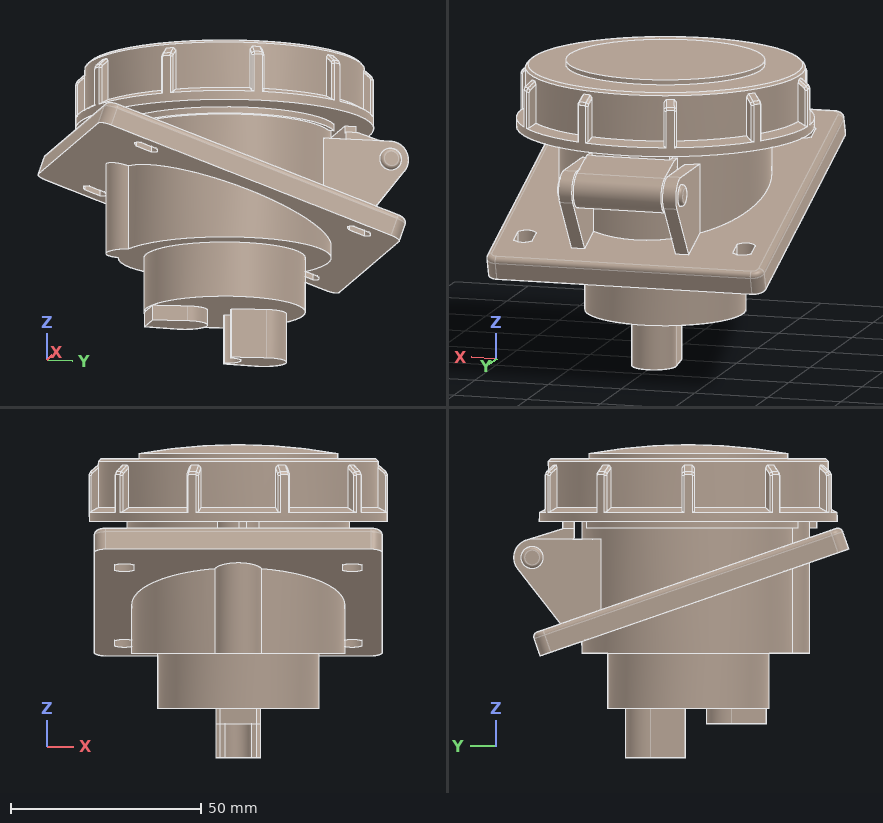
import cadquery as cq
import math


carrier_radius = 21.2
barrel_radius = 28.0
barrel_bottom = 14.5
rib_radius = 6.4
rib_tip_y = -31.9
rib_centre_y = rib_tip_y + rib_radius

plate_width = 75.7
plate_length = 85.9
plate_thickness = 6.25
plate_tilt = 19.1
plate_front_y = -42.2
plate_front_z = 41.9
plate_corner_radius = 3.0
plate_edge_radius = 1.4

hole_width = 5.0
hole_length = 6.0
hole_bow = 1.0
hole_spacing_x = 59.9
hole_spacing_y = 57.4
hole_pattern_y = 0.6

terminal_radius = 5.9
terminal_offset_y = 10.65
terminal_reach = 9.9
terminal_front_width = 9.5
short_terminal_length = 4.0
long_terminal_length = 12.95
groove_radius = 3.5

hinge_y = 41.0
hinge_z = 39.7
hinge_radius = 4.8
lug_outer_x = 16.0
lug_inner_x = 12.4
lug_foot_y = 32.1
lug_foot_z = 20.4
arm_width = 23.95
arm_inner_y = 29.9
arm_heel_z = 44.9
arm_post_width = 21.1
arm_shoulder_y = 33.0
arm_shoulder_z = 47.3
pin_radius = 2.9
pin_length = 34.2
pin_end_radius = 1.0

rim_radius = 39.2
rim_bottom = 49.1
rim_edge_z = 51.5
rim_root_z = 52.8
cap_radius = 36.8
cap_top = 65.7
cap_chamfer = 0.7
disc_radius = 26.15
disc_top = 67.0
dome_top = 69.4
grip_count = 10
grip_width = 3.3
grip_edge_z = 61.9
grip_root_z = 64.0
grip_chamfer = 0.6
grip_trim = 0.1
blank_allowance = 0.9
collar_radius = 29.3
collar_bottom = 47.5
key_tip_y = -33.8
key_left_x = 0.2
key_width = 2.0


def tangent_point(y, z, side):
    """Point where a line from (y, z) touches the hinge circle, on the chosen side (+1 or -1)."""
    distance = math.hypot(y - hinge_y, z - hinge_z)
    direction = math.atan2(z - hinge_z, y - hinge_y)
    angle = direction + side * math.acos(hinge_radius / distance)
    return (hinge_y + hinge_radius * math.cos(angle), hinge_z + hinge_radius * math.sin(angle))


def cylinder(radius, bottom, top, y=0):
    return cq.Workplane("XY").workplane(offset=bottom).center(0, y).circle(radius).extrude(top - bottom)


def make_plate():
    plate = (
        cq.Workplane("XY")
        .box(plate_width, plate_length, plate_thickness, centered=(True, False, False))
        .edges("|Z").fillet(plate_corner_radius)
        .faces(">Z").edges().fillet(plate_edge_radius)
        .rotate((0, 0, 0), (1, 0, 0), -plate_tilt)
        .translate((0, plate_front_y, plate_front_z))
    )
    half_width = hole_width / 2
    half_length = hole_length / 2
    shoulder = half_length - hole_bow
    for side_x in (-1, 1):
        for side_y in (-1, 1):
            hole = (
                cq.Workplane("XY")
                .center(side_x * hole_spacing_x / 2, hole_pattern_y + side_y * hole_spacing_y / 2)
                .moveTo(-half_width, -shoulder)
                .threePointArc((0, -half_length), (half_width, -shoulder))
                .lineTo(half_width, shoulder)
                .threePointArc((0, half_length), (-half_width, shoulder))
                .close()
                .extrude(rim_bottom)
            )
            plate = plate.cut(hole)
    return plate


def make_terminal(centre_y, length):
    half_front = terminal_front_width / 2
    to_corner = math.hypot(half_front, terminal_reach)
    touch = math.atan2(terminal_reach, half_front) - math.acos(terminal_radius / to_corner)
    touch_x = terminal_radius * math.cos(touch)
    touch_y = -terminal_radius * math.sin(touch)
    return (
        cq.Workplane("XY")
        .center(0, centre_y)
        .moveTo(-half_front, -terminal_reach)
        .lineTo(half_front, -terminal_reach)
        .lineTo(touch_x, touch_y)
        .threePointArc((0, terminal_radius), (-touch_x, touch_y))
        .close()
        .extrude(-length)
    )


def make_lug(start_x):
    """Hinge lug with a flat top, a round rear end and an edge sloping down into the plate."""
    return (
        cq.Workplane("YZ")
        .workplane(offset=start_x)
        .moveTo(0, hinge_z + hinge_radius)
        .lineTo(hinge_y, hinge_z + hinge_radius)
        .threePointArc((hinge_y + hinge_radius, hinge_z), tangent_point(lug_foot_y, lug_foot_z, 1))
        .lineTo(lug_foot_y, lug_foot_z)
        .lineTo(0, lug_foot_z + lug_foot_y * math.tan(math.radians(plate_tilt)))
        .close()
        .extrude(lug_outer_x - lug_inner_x)
    )


def make_front_rib():
    return cylinder(rib_radius, barrel_bottom, rim_bottom, rib_centre_y)


def make_pin():
    return (
        cq.Workplane("YZ")
        .workplane(offset=-pin_length / 2)
        .center(hinge_y, hinge_z)
        .circle(pin_radius)
        .extrude(pin_length)
        .faces("<X or >X").edges().fillet(pin_end_radius)
    )


def make_pin_bore():
    return (
        cq.Workplane("YZ")
        .workplane(offset=-lug_outer_x)
        .center(hinge_y, hinge_z)
        .circle(pin_radius)
        .extrude(2 * lug_outer_x)
    )


def make_housing():
    housing = cylinder(carrier_radius, 0, barrel_bottom)
    housing = housing.union(cylinder(barrel_radius, barrel_bottom, rim_bottom))
    housing = housing.union(make_front_rib())
    housing = housing.union(make_plate())
    for lug_x in (-lug_outer_x, lug_inner_x):
        housing = housing.union(make_lug(lug_x))
    housing = housing.union(make_terminal(-terminal_offset_y, short_terminal_length))
    groove = cylinder(groove_radius, -long_terminal_length, 0, terminal_offset_y - terminal_reach)
    housing = housing.union(make_terminal(terminal_offset_y, long_terminal_length).cut(groove))
    return housing.cut(make_pin_bore())


def make_cap_blank():
    """Cap with its rim left oversize, its sloping top carried on outwards past the rim radius."""
    blank_radius = rim_radius + blank_allowance
    rim_slope = (rim_root_z - rim_edge_z) / (rim_radius - cap_radius)
    blank_edge_z = rim_root_z - rim_slope * (blank_radius - cap_radius)
    dome_rise = dome_top - disc_top
    dome_radius = (disc_radius**2 + dome_rise**2) / (2 * dome_rise)
    return (
        cq.Workplane("XZ")
        .moveTo(0, rim_bottom)
        .lineTo(blank_radius, rim_bottom)
        .lineTo(blank_radius, blank_edge_z)
        .lineTo(cap_radius, rim_root_z)
        .lineTo(cap_radius, cap_top - cap_chamfer)
        .lineTo(cap_radius - cap_chamfer, cap_top)
        .lineTo(disc_radius, cap_top)
        .lineTo(disc_radius, disc_top)
        .radiusArc((0, dome_top), -dome_radius)
        .close()
        .revolve(360, (0, 0, 0), (0, 1, 0))
    )


def make_grip():
    """One grip rib on the +X side of the cap, with a sloping top and chamfered outer edges."""
    embedded_radius = cap_radius - cap_chamfer
    outer_radius = rim_radius + grip_trim
    grip = (
        cq.Workplane("XZ")
        .workplane(offset=-grip_width / 2)
        .moveTo(embedded_radius, rim_bottom)
        .lineTo(outer_radius, rim_bottom)
        .lineTo(outer_radius, grip_edge_z)
        .lineTo(cap_radius, grip_root_z)
        .lineTo(embedded_radius, grip_root_z)
        .close()
        .extrude(grip_width)
    )
    slope_edges = grip.edges("not (|X or |Y or |Z)")
    return slope_edges.add(grip.faces(">X").edges("not <Z")).chamfer(grip_chamfer)


def make_collar():
    """Skirt around the barrel, open at the front rib and across the hinge arm."""
    ring = cylinder(collar_radius, collar_bottom, rim_bottom)
    ring = ring.cut(cylinder(barrel_radius, collar_bottom, rim_bottom))
    hinge_gap = (
        cq.Workplane("XY")
        .box(arm_width, collar_radius, rim_bottom, centered=(True, False, False))
    )
    return ring.cut(make_front_rib()).cut(hinge_gap)


def make_key():
    return (
        cq.Workplane("XY")
        .box(key_width, rib_tip_y - key_tip_y, rim_bottom - collar_bottom, centered=False)
        .translate((key_left_x, key_tip_y, collar_bottom))
    )


def make_arm():
    """Hinge arm with a round eye, and the narrower post that carries it under the cap rim."""
    arm = (
        cq.Workplane("YZ")
        .workplane(offset=-arm_width / 2)
        .moveTo(arm_inner_y, arm_shoulder_z)
        .lineTo(arm_inner_y, arm_heel_z)
        .lineTo(*tangent_point(arm_inner_y, arm_heel_z, 1))
        .threePointArc(
            (hinge_y + hinge_radius, hinge_z),
            tangent_point(arm_shoulder_y, arm_shoulder_z, -1),
        )
        .lineTo(arm_shoulder_y, arm_shoulder_z)
        .close()
        .extrude(arm_width)
    )
    post_size = (arm_post_width, arm_shoulder_y - arm_inner_y, rim_bottom - arm_shoulder_z)
    post = (
        cq.Workplane("XY")
        .box(*post_size, centered=(True, False, False))
        .translate((0, arm_inner_y, arm_shoulder_z))
    )
    return arm.union(post)


def make_cap():
    cap = make_cap_blank()
    grip = make_grip()
    for index in range(grip_count):
        cap = cap.union(grip.rotate((0, 0, 0), (0, 0, 1), index * 360 / grip_count))
    cap = cap.intersect(cylinder(rim_radius, rim_bottom, dome_top + blank_allowance))
    cap = cap.union(make_collar()).union(make_key()).union(make_arm())
    return cap.cut(make_pin_bore())


housing = make_housing()
cap = make_cap()
hinge_pin = make_pin()

result = cq.Compound.makeCompound([housing.val(), cap.val(), hinge_pin.val()])